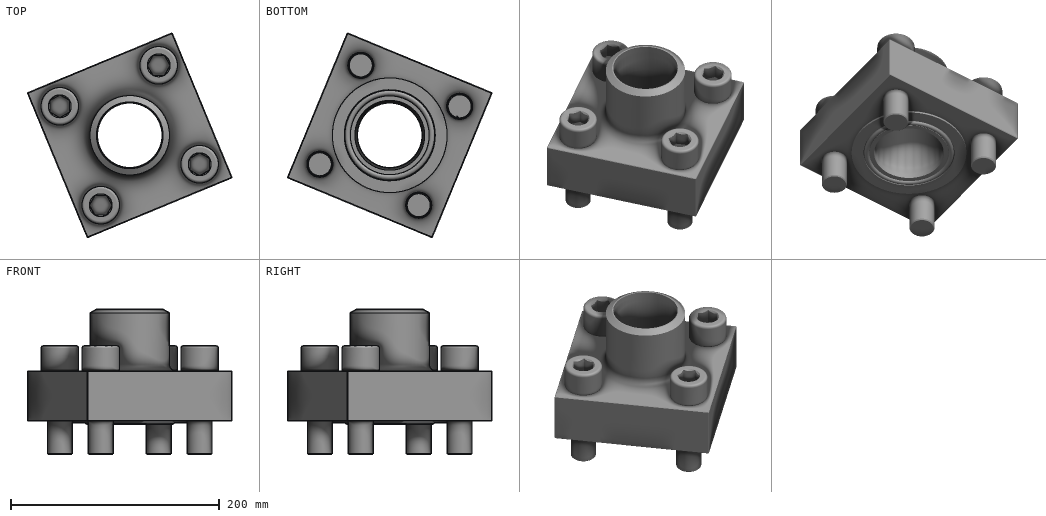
import cadquery as cq
import math

flange_side = 150.0
flange_thickness = 48.0
flange_turn = 22.5
edge_chamfer = 0.5

face_diameter = 110.0
face_height = 2.0

pipe_diameter = 76.1
pipe_height = 59.0
pipe_fillet = 6.0
bevel_height = 3.5
bevel_angle = 30
bore_diameter = 61.8
bore_mouth_diameter = 67.0
straight_bore_length = 29.3

ring_inner_diameter = 75.5
ring_section = 5.3
ring_protrusion = 1.4
groove_outer_diameter = 87.3

screw_count = 4
screw_circle_diameter = 145.0
screw_hole_diameter = 25.0
shank_diameter = 24.0
shank_length = 80.0
tip_chamfer = 1.0
head_diameter = 36.0
head_height = 24.0
head_top_fillet = 2.5
head_base_fillet = 1.8
socket_sides = 6
socket_corner_diameter = 22.0
socket_depth = 14.0

bevel_width = bevel_height / math.tan(math.radians(bevel_angle))
ring_radius = ring_section / 2
ring_centre_radius = ring_inner_diameter / 2 + ring_radius
face_level = -face_height
pipe_top = flange_thickness + pipe_height
first_screw_angle = flange_turn + 45
screw_angle_step = 360 / screw_count


def place_on_screw_circle(shape, index):
    """Move a shape from the Z axis to one corner, turning it with the pattern."""
    radial = math.radians(first_screw_angle)
    radius = screw_circle_diameter / 2
    moved = shape.translate((radius * math.cos(radial), radius * math.sin(radial), 0))
    return moved.rotate((0, 0, 0), (0, 0, 1), index * screw_angle_step)


def make_block():
    block = cq.Workplane("XY").rect(flange_side, flange_side).extrude(flange_thickness)
    block = block.edges().chamfer(edge_chamfer)
    return block.rotate((0, 0, 0), (0, 0, 1), flange_turn)


def make_pipe():
    """Beveled pipe with a concave fillet where it meets the block."""
    radius = pipe_diameter / 2
    arc_centre = (radius + pipe_fillet, flange_thickness + pipe_fillet)
    arc_reach = pipe_fillet * math.sqrt(0.5)
    return (
        cq.Workplane("XZ")
        .lineTo(radius + pipe_fillet, 0)
        .lineTo(radius + pipe_fillet, flange_thickness)
        .threePointArc(
            (arc_centre[0] - arc_reach, arc_centre[1] - arc_reach),
            (radius, flange_thickness + pipe_fillet),
        )
        .lineTo(radius, pipe_top - bevel_height)
        .lineTo(radius - bevel_width, pipe_top)
        .lineTo(0, pipe_top)
        .close()
        .revolve(360, (0, 0, 0), (0, 1, 0))
    )


def make_bore():
    """Straight bore that widens in a cone toward the sealing face."""
    bore_radius = bore_diameter / 2
    return (
        cq.Workplane("XZ")
        .moveTo(0, face_level)
        .lineTo(bore_mouth_diameter / 2, face_level)
        .lineTo(bore_radius, pipe_top - straight_bore_length)
        .lineTo(bore_radius, pipe_top)
        .lineTo(0, pipe_top)
        .close()
        .revolve(360, (0, 0, 0), (0, 1, 0))
    )


def make_groove():
    depth = ring_section - ring_protrusion
    return (
        cq.Workplane("XY")
        .workplane(offset=face_level)
        .circle(groove_outer_diameter / 2)
        .circle(ring_inner_diameter / 2)
        .extrude(depth)
    )


def make_flange():
    face = cq.Workplane("XY").circle(face_diameter / 2).extrude(-face_height)
    flange = make_block().union(face).union(make_pipe())
    flange = flange.cut(make_bore()).cut(make_groove())
    hole = cq.Workplane("XY").circle(screw_hole_diameter / 2).extrude(flange_thickness)
    for index in range(screw_count):
        flange = flange.cut(place_on_screw_circle(hole, index))
    return flange


def make_seal_ring():
    centre_level = face_level - ring_protrusion + ring_radius
    return (
        cq.Workplane("XZ")
        .center(ring_centre_radius, centre_level)
        .circle(ring_radius)
        .revolve(360, (-ring_centre_radius, 0, 0), (-ring_centre_radius, 1, 0))
    )


def make_socket():
    """Hexagonal recess whose mouth is countersunk to the hexagon's corner circle."""
    corner_radius = socket_corner_diameter / 2
    flat_radius = corner_radius * math.cos(math.pi / socket_sides)
    head_top = flange_thickness + head_height
    hexagon = (
        cq.Workplane("XY")
        .workplane(offset=head_top - socket_depth)
        .polygon(socket_sides, socket_corner_diameter)
        .extrude(socket_depth)
    )
    countersink = (
        cq.Workplane("XY")
        .workplane(offset=head_top)
        .circle(corner_radius)
        .workplane(offset=flat_radius - corner_radius)
        .circle(flat_radius)
        .loft()
    )
    return hexagon.union(countersink)


def make_screw(index):
    seat = cq.Workplane("XY").workplane(offset=flange_thickness)
    head = seat.circle(head_diameter / 2).extrude(head_height)
    head = head.edges(">Z").fillet(head_top_fillet)
    head = head.edges("<Z").fillet(head_base_fillet)
    shank = seat.circle(shank_diameter / 2).extrude(-shank_length)
    shank = shank.edges("<Z").chamfer(tip_chamfer)
    screw = head.union(shank).cut(make_socket())
    return place_on_screw_circle(screw, index)


flange = make_flange()
seal_ring = make_seal_ring()
screws = [make_screw(index) for index in range(screw_count)]

result = cq.Compound.makeCompound([flange.val(), seal_ring.val(), *[screw.val() for screw in screws]])